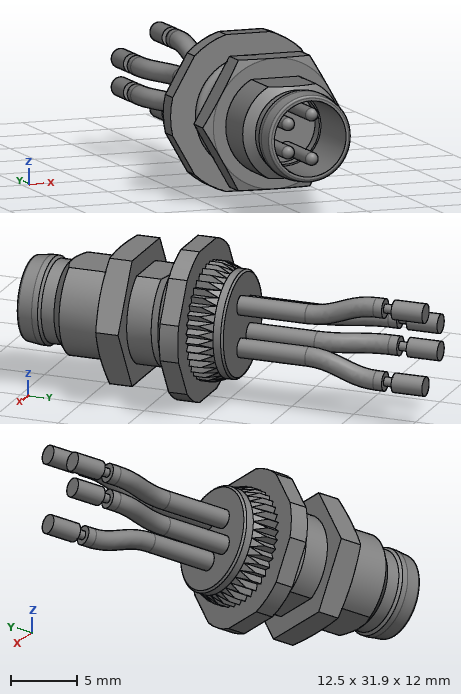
import cadquery as cq
import math

TOTAL_LENGTH = 31.95

COLLAR_RADIUS = 3.45
COLLAR_TIP_RADIUS = 3.3
COLLAR_ROUNDING = 0.2
COLLAR_TAPER_END = 1.28
COLLAR_BACK = 1.75
GROOVE_RADIUS = 6.5 / 2
GROOVE_END = 3.0
SOCKET_RADIUS = 5.8 / 2
SOCKET_DEPTH = 6.0
SOCKET_STEP_RADIUS = 2.78
SOCKET_STEP_DEPTH = 5.1

PIN_RADIUS = 1.0 / 2
PIN_TIP = 0.4

BARREL_RADIUS = 4.0
BARREL_FLAT_SPACING = 7.0
BARREL_FRONT = 3.7
BARREL_BACK = 11.15
BARREL_BACK_CONE = 0.35
NECK_RADIUS = 6.7 / 2

FLANGE_ACROSS_FLATS = 12.0
FLANGE_RADIUS = 6.25
FLANGE_FRONT = 12.7
FLANGE_THICKNESS = 1.5
FLANGE_BACK = FLANGE_FRONT + FLANGE_THICKNESS
SEAL_SECTION_RADIUS = 0.495
SEAL_OUTER_RADIUS = 4.4

CAP_RADIUS = 8.4 / 2
CAP_BACK = 17.0
CAP_CHAMFER = 0.15
KNURL_TEETH = 40
KNURL_TIP_RADIUS = 4.6
KNURL_TAPER_START = 15.15
KNURL_END = 16.23

WIRE_RADIUS = 1.5 / 2
WIRE_CORE_RADIUS = 0.7 / 2
WIRE_BEND_START = 22.5
WIRE_BEND_END = 28.0
WIRE_SHEATH_END = 28.7
WIRE_SLEEVE_START = 29.45
WIRE_SPREAD = 1.2

RIGHT_CONTACT = (0.48, 1.7)
LEFT_CONTACT = (-1.45, 1.1)

HEX_ACROSS_FLATS = 10.0
HEX_FRONT = 7.15
HEX_THICKNESS = 2.0
HEX_CHAMFER_ANGLE = 15.0


def plane_at(y):
    """Plane across the axis at the given Y; local x is +X, local y is +Z, extrusion runs toward -Y."""
    return cq.Workplane("XZ", origin=(0, y, 0))


def disc(radius, y_start, y_end, x=0.0, z=0.0):
    return plane_at(y_start).center(x, z).circle(radius).extrude(y_start - y_end)


def hexagon(across_flats, y_start, y_end):
    """Hexagonal prism along Y with two corners on the X axis."""
    corner_diameter = across_flats / math.cos(math.pi / 6)
    return plane_at(y_start).polygon(6, corner_diameter).extrude(y_start - y_end)


def revolve_about_axis(profile):
    """Revolve a closed (radius, Y) outline around the Y axis."""
    return cq.Workplane("XY").polyline(profile).close().revolve(360, (0, 0, 0), (0, 1, 0))


def make_collar():
    """Front collar with a rounded rim, and the groove behind it, up to the start of the barrel cone."""
    groove_step = COLLAR_RADIUS - GROOVE_RADIUS
    profile = [
        (0, 0),
        (COLLAR_TIP_RADIUS, 0),
        (COLLAR_RADIUS, COLLAR_TAPER_END),
        (COLLAR_RADIUS, COLLAR_BACK),
        (GROOVE_RADIUS, COLLAR_BACK + groove_step),
        (GROOVE_RADIUS, GROOVE_END),
        (0, GROOVE_END),
    ]
    return revolve_about_axis(profile).faces("<Y").edges().fillet(COLLAR_ROUNDING)


def make_barrel():
    """Round barrel with a cone at each end, cut by an upper and a lower flat."""
    barrel_end = BARREL_BACK + BARREL_BACK_CONE
    profile = [
        (0, GROOVE_END),
        (GROOVE_RADIUS, GROOVE_END),
        (BARREL_RADIUS, BARREL_FRONT),
        (BARREL_RADIUS, BARREL_BACK),
        (NECK_RADIUS, barrel_end),
        (0, barrel_end),
    ]
    between_flats = cq.Workplane("XY").box(
        2 * BARREL_RADIUS, 2 * TOTAL_LENGTH, BARREL_FLAT_SPACING
    )
    return revolve_about_axis(profile).intersect(between_flats)


def make_seal():
    """Round-section sealing ring lying against the front of the flange, clear of the neck."""
    ring_radius = SEAL_OUTER_RADIUS - SEAL_SECTION_RADIUS
    section = cq.Workplane("XY").center(-ring_radius, FLANGE_FRONT - SEAL_SECTION_RADIUS).circle(SEAL_SECTION_RADIUS)
    return section.revolve(360, (ring_radius, 0, 0), (ring_radius, 1, 0))


def make_flange():
    """Hexagonal flange with its corners rounded to a common circle."""
    prism = hexagon(FLANGE_ACROSS_FLATS, FLANGE_FRONT, FLANGE_BACK)
    return prism.intersect(disc(FLANGE_RADIUS, FLANGE_FRONT, FLANGE_BACK))


def make_knurl():
    """Ring of pointed teeth along Y, tapering down to the cap."""
    half_pitch = math.pi / KNURL_TEETH
    outline = []
    for step in range(2 * KNURL_TEETH):
        radius = KNURL_TIP_RADIUS if step % 2 else CAP_RADIUS
        angle = step * half_pitch
        outline.append((radius * math.cos(angle), radius * math.sin(angle)))
    teeth = plane_at(FLANGE_BACK).polyline(outline).close().extrude(FLANGE_BACK - KNURL_END)
    taper = revolve_about_axis([
        (0, FLANGE_BACK),
        (KNURL_TIP_RADIUS, FLANGE_BACK),
        (KNURL_TIP_RADIUS, KNURL_TAPER_START),
        (CAP_RADIUS, KNURL_END),
        (0, KNURL_END),
    ])
    return teeth.intersect(taper)


def make_cap():
    return disc(CAP_RADIUS, FLANGE_BACK, CAP_BACK).faces(">Y").chamfer(CAP_CHAMFER)


def make_socket():
    """Space inside the collar around the pins."""
    return revolve_about_axis([
        (0, 0),
        (SOCKET_RADIUS, 0),
        (SOCKET_RADIUS, SOCKET_STEP_DEPTH),
        (SOCKET_STEP_RADIUS, SOCKET_STEP_DEPTH),
        (SOCKET_STEP_RADIUS, SOCKET_DEPTH),
        (0, SOCKET_DEPTH),
    ])


def make_pin(x, z):
    """Round pin with a hemispherical tip, standing on the socket floor."""
    dome_centre = PIN_TIP + PIN_RADIUS
    dome = cq.Workplane("XY", origin=(x, dome_centre, z)).sphere(PIN_RADIUS)
    return disc(PIN_RADIUS, dome_centre, SOCKET_DEPTH, x, z).union(dome)


def make_wire(start, end):
    """Wire that leaves the cap at start, bends over to end and carries a stripped tip with a sleeve."""
    start_x, start_z = start
    end_x, end_z = end
    bend_path = cq.Workplane("XY").spline(
        [(start_x, WIRE_BEND_START, start_z), (end_x, WIRE_BEND_END, end_z)],
        tangents=[(0, 1, 0), (0, 1, 0)],
    )
    bend = plane_at(WIRE_BEND_START).center(start_x, start_z).circle(WIRE_RADIUS).sweep(bend_path)
    straight = disc(WIRE_RADIUS, CAP_BACK, WIRE_BEND_START, start_x, start_z)
    sheath_end = disc(WIRE_RADIUS, WIRE_BEND_END, WIRE_SHEATH_END, end_x, end_z)
    core = disc(WIRE_CORE_RADIUS, WIRE_SHEATH_END, WIRE_SLEEVE_START, end_x, end_z)
    sleeve = disc(WIRE_RADIUS, WIRE_SLEEVE_START, TOTAL_LENGTH, end_x, end_z)
    return straight.union(bend).union(sheath_end).union(core).union(sleeve)


def make_hex_collar():
    """Hexagon collar around the barrel, with the corners of its front face chamfered."""
    collar_back = HEX_FRONT + HEX_THICKNESS
    inner_radius = HEX_ACROSS_FLATS / 2
    corner_radius = inner_radius / math.cos(math.pi / 6)
    chamfer_depth = (corner_radius - inner_radius) * math.tan(math.radians(HEX_CHAMFER_ANGLE))
    chamfer_envelope = revolve_about_axis([
        (0, HEX_FRONT),
        (inner_radius, HEX_FRONT),
        (corner_radius, HEX_FRONT + chamfer_depth),
        (corner_radius, collar_back),
        (0, collar_back),
    ])
    return hexagon(HEX_ACROSS_FLATS, HEX_FRONT, collar_back).intersect(chamfer_envelope)


def make_connector():
    neck = disc(NECK_RADIUS, BARREL_BACK, FLANGE_FRONT)
    connector = make_collar().union(make_barrel()).union(make_hex_collar()).union(neck)
    connector = connector.union(make_flange()).union(make_cap()).union(make_knurl())
    connector = connector.cut(make_socket())
    right_x, right_z = RIGHT_CONTACT
    left_x, left_z = LEFT_CONTACT
    for side in (1, -1):
        right_start = (right_x, side * right_z)
        left_start = (left_x, side * left_z)
        right_end = (right_x, side * (right_z + WIRE_SPREAD))
        left_end = (left_x - WIRE_SPREAD, side * left_z)
        for start, end in ((right_start, right_end), (left_start, left_end)):
            connector = connector.union(make_pin(*start)).union(make_wire(start, end))
    return connector


connector = make_connector()
seal = make_seal()
result = cq.Compound.makeCompound([connector.val(), seal.val()])